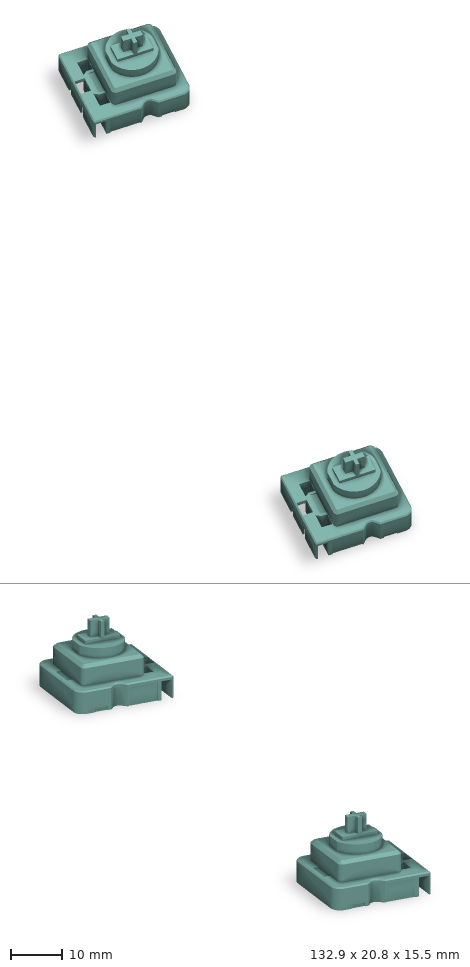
import cadquery as cq

overall_length = 132.9
width = 18.6
rear_y = 9.0
wall_front_y = -9.2
flange_front_y = -11.8
pitch = overall_length - width

plate_top = 4.8
plate_thickness = 0.8
plate_bottom = plate_top - plate_thickness
rear_corner_radius = 2.0
edge_chamfer = 0.3

notch_mouth = 3.6
notch_root_radius = 1.3

panel_depth = 0.2
panel_rear_y = -2.0
panel_front_y = -8.4

relief_depth = 0.2
relief_height = 0.8
relief_rear_y = 5.3
relief_front_y = 2.5

flange_thickness = 0.4
flange_back_y = flange_front_y + flange_thickness
front_slot_width = 1.0
front_slot_spacing = 6.1
front_slot_height = 2.9
rib_width = 1.3
middle_window_width = 3.3
middle_window_rear_y = -9.3

window_rear_y = -6.9
window_span = 11.7
tongue_width = 6.4
tongue_tip_width = 5.0
tongue_taper_y = -8.2

latch_width = 5.2
latch_y = 8.1
latch_depth = 0.3

cap_size = 13.7
cap_top = 9.2
cap_corner_radius = 0.9
cap_chamfer = 0.7

collar_radius = 5.2
collar_flats = 9.8
collar_top = 11.3

key_width = 3.7
key_length = 7.6
key_top = 12.1
slider_top = 15.5
long_bar_length = 4.1
long_bar_thickness = 1.2
wide_bar_thickness = 0.8


def block(x_min, x_max, y_min, y_max, z_min, z_max):
    """Axis-aligned box between two corners."""
    return cq.Workplane("XY").box(
        x_max - x_min, y_max - y_min, z_max - z_min, centered=False
    ).translate((x_min, y_min, z_min))


def centred_block(size_x, y_min, y_max, z_min, z_max):
    """Axis-aligned box centred on X = 0."""
    return block(-size_x / 2, size_x / 2, y_min, y_max, z_min, z_max)


def shell():
    """Plate, base block and front flange, with the side notches and the chamfered plate edge."""
    body = centred_block(width, flange_front_y, rear_y, 0, plate_top)
    body = body.edges("|Z and >Y").fillet(rear_corner_radius)
    body = body.faces("<Y").edges("|Z").chamfer(edge_chamfer)
    body = body.cut(side_notch()).cut(side_notch().mirror("YZ"))
    body = body.faces(">Z").edges().chamfer(edge_chamfer)
    return body.cut(centred_block(width, flange_back_y, wall_front_y, 0, plate_bottom))


def front_pair(shape):
    """Two copies of a shape, one on each side of the centre, at the front slot spacing."""
    offset = front_slot_spacing / 2
    return shape.translate((-offset, 0, 0)).union(shape.translate((offset, 0, 0)))


def ribs():
    """Two ribs that join the base block to the flange above the front slots."""
    rib = centred_block(rib_width, flange_back_y, wall_front_y, front_slot_height, plate_bottom)
    return front_pair(rib)


def side_notch():
    """Cutter for the V notch in the +X side."""
    notch = (
        cq.Workplane("XY")
        .polyline([
            (width / 2, notch_mouth / 2),
            (width / 2 - notch_mouth / 2, 0),
            (width / 2, -notch_mouth / 2),
        ])
        .close()
        .extrude(plate_top)
    )
    return notch.edges("|Z and <X").fillet(notch_root_radius)


def side_panel():
    """Cutter for the shallow panel in the +X side."""
    return block(width / 2 - panel_depth, width / 2, panel_front_y, panel_rear_y, 0, plate_bottom)


def side_relief():
    """Cutter for the small relief at the bottom of the +X side."""
    return block(width / 2 - relief_depth, width / 2, relief_front_y, relief_rear_y, 0, relief_height)


def front_slots():
    """Cutters for the two slots in the front flange."""
    slot = centred_block(front_slot_width, flange_front_y, flange_back_y, 0, front_slot_height)
    return front_pair(slot)


def windows():
    """Cutters for the front windows: one wide opening around the tongue and one in the middle."""
    tongue = (
        cq.Workplane("XY")
        .polyline([
            (-tongue_width / 2, window_rear_y),
            (-tongue_width / 2, tongue_taper_y),
            (-tongue_tip_width / 2, wall_front_y),
            (tongue_tip_width / 2, wall_front_y),
            (tongue_width / 2, tongue_taper_y),
            (tongue_width / 2, window_rear_y),
        ])
        .close()
        .extrude(plate_top)
    )
    sides = centred_block(window_span, wall_front_y, window_rear_y, 0, plate_top).cut(tongue)
    middle = centred_block(middle_window_width, flange_back_y, middle_window_rear_y, 0, plate_top)
    return sides.union(middle)


def cap():
    """Square cap with rounded corners and a chamfered top."""
    body = cq.Workplane("XY").rect(cap_size, cap_size).extrude(cap_top)
    body = body.edges("|Z").fillet(cap_corner_radius)
    return body.faces(">Z").chamfer(cap_chamfer)


def collar():
    """Round collar on the cap, with flats at the front and the rear."""
    height = collar_top - cap_top
    disc = cq.Workplane("XY").workplane(offset=cap_top).circle(collar_radius).extrude(height)
    return disc.intersect(centred_block(2 * collar_radius, -collar_flats / 2, collar_flats / 2,
                                        cap_top, collar_top))


def key():
    """Rectangular key of the slider, from the bottom of the collar to above it."""
    return centred_block(key_width, -key_length / 2, key_length / 2, cap_top, key_top)


def make_housing():
    """Base, cap and collar in one piece, with a slot in the collar for the slider key."""
    body = shell().union(ribs())
    for cutter in (side_panel(), side_relief()):
        body = body.cut(cutter).cut(cutter.mirror("YZ"))
    body = body.cut(front_slots()).cut(windows())
    body = body.cut(centred_block(latch_width, -latch_y, latch_y, plate_top - latch_depth, plate_top))
    return body.union(cap()).union(collar()).cut(key())


def make_slider():
    """Key with a cross-shaped stem on top."""
    long_bar = centred_block(long_bar_thickness, -long_bar_length / 2, long_bar_length / 2,
                             key_top, slider_top)
    wide_bar = centred_block(key_width, -wide_bar_thickness / 2, wide_bar_thickness / 2,
                             key_top, slider_top)
    return key().union(long_bar).union(wide_bar)


bodies = []
for x in (-pitch / 2, pitch / 2):
    bodies.append(make_housing().translate((x, 0, 0)).val())
    bodies.append(make_slider().translate((x, 0, 0)).val())
result = cq.Compound.makeCompound(bodies)